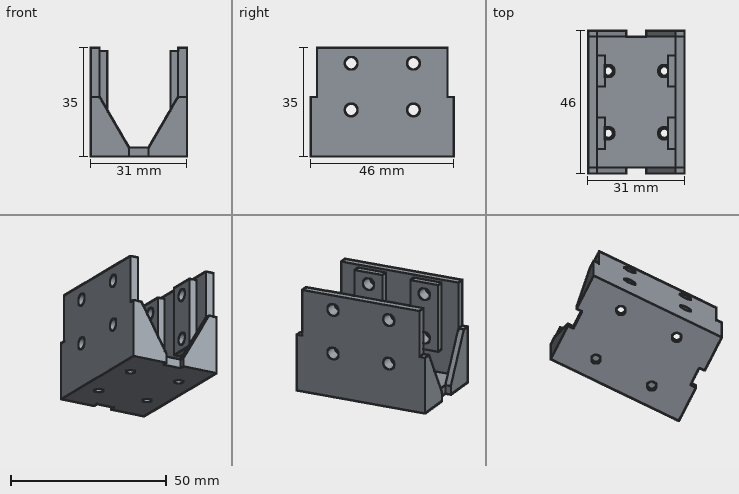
import cadquery as cq

width = 31.0
length = 46.0
height = 35.0

wall_thickness = 2.9
floor_thickness = 3.0
gusset_thickness = 2.0
gusset_height = 19.25
gusset_gap = 6.3

pad_thickness = 2.5
pad_width = 10.0
pad_end_margin = 4.0

hole_pitch_y = 20.0
wall_hole_diameter = 4.0
wall_hole_heights = (15.0, 30.0)
floor_hole_diameter = 3.0
floor_hole_mouth_diameter = 4.0
floor_hole_pitch_x = 18.0

body_length = length - 2 * gusset_thickness
inner_half_width = width / 2 - wall_thickness
pad_bottom = wall_hole_heights[0] - pad_end_margin
pad_height = wall_hole_heights[1] + pad_end_margin - pad_bottom
hole_ys = (-hole_pitch_y / 2, hole_pitch_y / 2)


def make_channel():
    """U-shaped body: a floor between two full-height side walls."""
    body = cq.Workplane("XY").box(width, body_length, height, centered=(True, True, False))
    cavity = (
        cq.Workplane("XY")
        .workplane(offset=floor_thickness)
        .box(2 * inner_half_width, body_length, height, centered=(True, True, False))
    )
    return body.cut(cavity)


def make_gusset(side, y_start):
    """End plate that slopes from one wall (side = -1 or 1) down to the floor."""
    outline = [
        (side * width / 2, 0),
        (side * gusset_gap / 2, 0),
        (side * gusset_gap / 2, floor_thickness),
        (side * inner_half_width, gusset_height),
        (side * width / 2, gusset_height),
    ]
    return (
        cq.Workplane("XZ", origin=(0, y_start, 0))
        .polyline(outline)
        .close()
        .extrude(-gusset_thickness)
    )


def make_pad(side, y):
    """Raised rectangular pad on the inner face of one wall."""
    x = side * (inner_half_width - pad_thickness / 2)
    return (
        cq.Workplane("XY", origin=(x, y, pad_bottom))
        .box(pad_thickness, pad_width, pad_height, centered=(True, True, False))
    )


def make_wall_holes():
    """Cylinders that cross both walls and their pads along X."""
    centres = [(y, z) for y in hole_ys for z in wall_hole_heights]
    return (
        cq.Workplane("YZ", origin=(-width / 2, 0, 0))
        .pushPoints(centres)
        .circle(wall_hole_diameter / 2)
        .extrude(width)
    )


def add_floor_holes(body):
    """Through holes in the floor with a 45 degree chamfered mouth on top."""
    centres = [(side * floor_hole_pitch_x / 2, y) for side in (-1, 1) for y in hole_ys]
    return (
        body.cut(
            cq.Workplane("XY")
            .pushPoints(centres)
            .circle(floor_hole_diameter / 2)
            .extrude(floor_thickness)
        )
        .cut(make_hole_mouths(centres))
    )


def make_hole_mouths(centres):
    """Cones that widen the floor holes up to the floor's top face."""
    depth = (floor_hole_mouth_diameter - floor_hole_diameter) / 2
    cone = cq.Solid.makeCone(
        floor_hole_diameter / 2,
        floor_hole_mouth_diameter / 2,
        depth,
    )
    base = cq.Workplane("XY", origin=(0, 0, floor_thickness - depth))
    return base.pushPoints(centres).eachpoint(lambda place: cone.moved(place), combine=False)


result = make_channel()
for side in (-1, 1):
    for y_start in (-length / 2, body_length / 2):
        result = result.union(make_gusset(side, y_start))
    for y in hole_ys:
        result = result.union(make_pad(side, y))
result = result.clean().cut(make_wall_holes())
result = add_floor_holes(result)